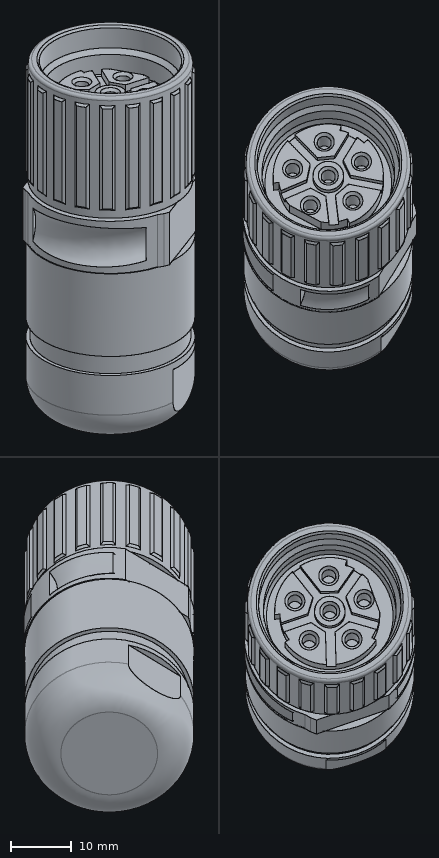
import cadquery as cq
import math

BODY_RADIUS = 13.98
TOTAL_HEIGHT = 65.05

CAP_TOP = 13.4
CAP_ROUNDING = 6.0
CAP_FLAT_TOP = 12.05
CAP_FLAT_DISTANCE = 12.95

GROOVE_RADIUS = 13.3
GROOVE_TOP = 16.95

COLLAR_FLAT_DISTANCE = 12.9
COLLAR_BOTTOM = 32.45
COLLAR_TOP = 42.25
CORNER_FLAT_END = 6.9
CORNER_MID = (12.2, 7.7)
CORNER_ROOT = (11.15, 8.6)
COLLAR_RADIUS = 14.145
WEB_HALF_WIDTH = 2.6
RECESS_MIDDLE = 37.35
RECESS_TUBE_RADIUS = 5.1
RECESS_DEPTH_RADIUS = 12.55
FRONT_SWEEP_RADIUS = 19.8
FRONT_RECESS_END = 9.95
BACK_SWEEP_RADIUS = 18.6
BACK_RECESS_END = 11.93

NECK_RADIUS = 12.6

SLEEVE_RADIUS = 13.6
SLEEVE_BOTTOM = 42.55
SLEEVE_ROUNDING = 0.6
RIB_COUNT = 20
RIB_BOTTOM = 43.95
RIB_TOP = 63.6
RIB_BASE_WIDTH = 2.6
RIB_TIP_RADIUS = 14.0
RIB_ROOT_RADIUS = 13.5
RIB_RISE = RIB_TIP_RADIUS - RIB_ROOT_RADIUS
RIB_SIDE_ANGLE = 45.0

MOUTH_RADIUS = 12.13
BORE_RADIUS = 11.75
BORE_DEPTH = 4.1
SEAT_RADIUS = 10.95
WELL_DEPTH = 8.55
FLOOR_RADIUS = 10.45
FLOOR_DEPTH = 9.6

INSERT_RADIUS = 9.1
INSERT_STEP_RADIUS = 8.25
INSERT_BASE_DEPTH = 7.5
INSERT_FACE_DEPTH = 6.2
INSERT_FLAT = 7.7
TOP_STEP_HALF_ANGLE = 52.2
KEY_HALF_ANGLE = 16.0
HUB_APOTHEM = 3.35
HUB_SIDES = 5
WEB_SLOT_WIDTH = 1.6
BOSS_RADIUS = 2.53
PIN_CIRCLE_RADIUS = 6.0
PIN_HOLE_RADIUS = 1.15
PIN_MOUTH_RADIUS = 1.65
PIN_HOLE_DEPTH = 5.0

FLOOR_Z = TOTAL_HEIGHT - FLOOR_DEPTH
INSERT_BASE_Z = TOTAL_HEIGHT - INSERT_BASE_DEPTH
INSERT_FACE_Z = TOTAL_HEIGHT - INSERT_FACE_DEPTH
SECTOR_ANGLE = 360.0 / HUB_SIDES


def cylinder(radius, bottom, top):
    return cq.Workplane("XY").workplane(offset=bottom).circle(radius).extrude(top - bottom)


def polar(radius, degrees):
    angle = math.radians(degrees)
    return (radius * math.cos(angle), radius * math.sin(angle))


def make_cap():
    cap = cylinder(BODY_RADIUS, 0, CAP_TOP).faces("<Z").edges().fillet(CAP_ROUNDING)
    depth = BODY_RADIUS - CAP_FLAT_DISTANCE
    for side in (-1, 1):
        cut = cq.Workplane("XY").box(depth, 2 * BODY_RADIUS, CAP_FLAT_TOP, centered=(True, True, False))
        cap = cap.cut(cut.translate((side * (CAP_FLAT_DISTANCE + depth / 2), 0, 0)))
    return cap


def finger_recess(sweep_radius, facing, x_start, x_end):
    """Ring-shaped cutter, limited to x_start..x_end, that hollows the +Y or -Y face of the collar."""
    tube_offset = RECESS_DEPTH_RADIUS + RECESS_TUBE_RADIUS
    ring = cq.Solid.makeTorus(sweep_radius, RECESS_TUBE_RADIUS)
    ring = ring.translate(cq.Vector(0, facing * (tube_offset - sweep_radius), RECESS_MIDDLE))
    window = cq.Workplane("XY").box(
        x_end - x_start, tube_offset, 2 * RECESS_TUBE_RADIUS, centered=(False, True, True)
    ).translate((x_start, facing * tube_offset / 2, RECESS_MIDDLE))
    return window.intersect(cq.Workplane(obj=ring))


def make_collar():
    height = COLLAR_TOP - COLLAR_BOTTOM
    collar = cylinder(COLLAR_RADIUS, COLLAR_BOTTOM, COLLAR_TOP)
    corners = (
        cq.Workplane("XY").workplane(offset=COLLAR_BOTTOM)
        .moveTo(-COLLAR_FLAT_DISTANCE, 0)
        .lineTo(-COLLAR_FLAT_DISTANCE, -CORNER_FLAT_END)
        .lineTo(-CORNER_MID[0], -CORNER_MID[1])
        .lineTo(-CORNER_ROOT[0], -CORNER_ROOT[1])
        .lineTo(CORNER_ROOT[0], -CORNER_ROOT[1])
        .lineTo(CORNER_MID[0], -CORNER_MID[1])
        .lineTo(COLLAR_FLAT_DISTANCE, -CORNER_FLAT_END)
        .lineTo(COLLAR_FLAT_DISTANCE, 0)
        .close()
        .extrude(height)
    )
    between_flats = cq.Workplane("XY").workplane(offset=COLLAR_BOTTOM).rect(
        2 * COLLAR_FLAT_DISTANCE, 2 * COLLAR_RADIUS).extrude(height)
    collar = collar.union(corners).intersect(between_flats)

    collar = collar.cut(finger_recess(FRONT_SWEEP_RADIUS, -1, -FRONT_RECESS_END, FRONT_RECESS_END))
    collar = collar.cut(finger_recess(BACK_SWEEP_RADIUS, 1, -BACK_RECESS_END, -WEB_HALF_WIDTH))
    collar = collar.cut(finger_recess(BACK_SWEEP_RADIUS, 1, WEB_HALF_WIDTH, BACK_RECESS_END))
    return collar


def make_sleeve():
    sleeve = cylinder(SLEEVE_RADIUS, SLEEVE_BOTTOM, TOTAL_HEIGHT)
    sleeve = sleeve.faces(">Z").edges().fillet(SLEEVE_ROUNDING)
    rib = (
        cq.Workplane("YZ").workplane(offset=RIB_ROOT_RADIUS)
        .center(0, (RIB_BOTTOM + RIB_TOP) / 2)
        .rect(RIB_BASE_WIDTH, RIB_TOP - RIB_BOTTOM)
        .extrude(RIB_RISE, taper=RIB_SIDE_ANGLE)
    ).intersect(cylinder(RIB_TIP_RADIUS, RIB_BOTTOM, RIB_TOP))
    for i in range(RIB_COUNT):
        sleeve = sleeve.union(rib.rotate((0, 0, 0), (0, 0, 1), i * 360 / RIB_COUNT))
    return sleeve


def make_socket():
    """Turned cavity: chamfered mouth, bore, 45 degree seat, straight wall and a taper to the floor."""
    mouth_z = TOTAL_HEIGHT - (MOUTH_RADIUS - BORE_RADIUS)
    bore_z = TOTAL_HEIGHT - BORE_DEPTH
    seat_z = bore_z - (BORE_RADIUS - SEAT_RADIUS)
    return (
        cq.Workplane("XZ")
        .moveTo(0, FLOOR_Z)
        .lineTo(FLOOR_RADIUS, FLOOR_Z)
        .lineTo(SEAT_RADIUS, TOTAL_HEIGHT - WELL_DEPTH)
        .lineTo(SEAT_RADIUS, seat_z)
        .lineTo(BORE_RADIUS, bore_z)
        .lineTo(BORE_RADIUS, mouth_z)
        .lineTo(MOUTH_RADIUS, TOTAL_HEIGHT)
        .lineTo(0, TOTAL_HEIGHT)
        .close()
        .revolve()
    )


def insert_outline(bottom, top):
    """Round insert with a stepped-back +Y side that ends in a flat, and a key notch on the -Y side."""
    step_right = 90 - TOP_STEP_HALF_ANGLE
    step_left = 90 + TOP_STEP_HALF_ANGLE
    key_left = 270 - KEY_HALF_ANGLE
    key_right = 270 + KEY_HALF_ANGLE
    flat_half = math.sqrt(INSERT_STEP_RADIUS ** 2 - INSERT_FLAT ** 2)
    flat_angle = math.degrees(math.asin(INSERT_FLAT / INSERT_STEP_RADIUS))
    return (
        cq.Workplane("XY").workplane(offset=bottom)
        .moveTo(*polar(INSERT_RADIUS, step_right))
        .lineTo(*polar(INSERT_STEP_RADIUS, step_right))
        .threePointArc(
            polar(INSERT_STEP_RADIUS, (step_right + flat_angle) / 2), (flat_half, INSERT_FLAT))
        .lineTo(-flat_half, INSERT_FLAT)
        .threePointArc(
            polar(INSERT_STEP_RADIUS, 180 - (step_right + flat_angle) / 2),
            polar(INSERT_STEP_RADIUS, step_left))
        .lineTo(*polar(INSERT_RADIUS, step_left))
        .threePointArc(polar(INSERT_RADIUS, 180), polar(INSERT_RADIUS, key_left))
        .lineTo(*polar(INSERT_STEP_RADIUS, key_left))
        .threePointArc(polar(INSERT_STEP_RADIUS, 270), polar(INSERT_STEP_RADIUS, key_right))
        .lineTo(*polar(INSERT_RADIUS, key_right))
        .threePointArc(polar(INSERT_RADIUS, 0), polar(INSERT_RADIUS, step_right))
        .close()
        .extrude(top - bottom)
    )


def pin_hole(x, y):
    taper_z = INSERT_FACE_Z - (PIN_MOUTH_RADIUS - PIN_HOLE_RADIUS)
    bottom_z = INSERT_FACE_Z - PIN_HOLE_DEPTH
    profile = (
        cq.Workplane("XZ")
        .moveTo(0, bottom_z)
        .lineTo(PIN_HOLE_RADIUS, bottom_z)
        .lineTo(PIN_HOLE_RADIUS, taper_z)
        .lineTo(PIN_MOUTH_RADIUS, INSERT_FACE_Z)
        .lineTo(0, INSERT_FACE_Z)
        .close()
    )
    return profile.revolve().translate((x, y, 0))


def make_insert():
    insert = insert_outline(FLOOR_Z, INSERT_FACE_Z)
    relief_height = INSERT_FACE_Z - INSERT_BASE_Z
    hub = (
        cq.Workplane("XY").workplane(offset=INSERT_BASE_Z)
        .polygon(HUB_SIDES, 2 * HUB_APOTHEM, circumscribed=True)
        .extrude(relief_height)
        .rotate((0, 0, 0), (0, 0, 1), 90)
    )
    insert = insert.cut(hub)
    for i in range(HUB_SIDES):
        slot = cq.Workplane("XY").box(
            INSERT_RADIUS, WEB_SLOT_WIDTH, relief_height, centered=(False, True, False)
        ).translate((0, 0, INSERT_BASE_Z))
        insert = insert.cut(slot.rotate((0, 0, 0), (0, 0, 1), 270 + i * SECTOR_ANGLE))
    return insert.union(cylinder(BOSS_RADIUS, INSERT_BASE_Z, INSERT_FACE_Z))


def make_connector():
    part = make_cap()
    part = part.union(cylinder(GROOVE_RADIUS, CAP_TOP, GROOVE_TOP))
    part = part.union(cylinder(BODY_RADIUS, GROOVE_TOP, COLLAR_BOTTOM))
    part = part.union(make_collar())
    part = part.union(cylinder(NECK_RADIUS, COLLAR_TOP, SLEEVE_BOTTOM))
    part = part.union(make_sleeve())
    part = part.cut(make_socket()).union(make_insert())
    part = part.cut(pin_hole(0, 0))
    for i in range(HUB_SIDES):
        part = part.cut(pin_hole(*polar(PIN_CIRCLE_RADIUS, 90 + i * SECTOR_ANGLE)))
    return part


result = make_connector()